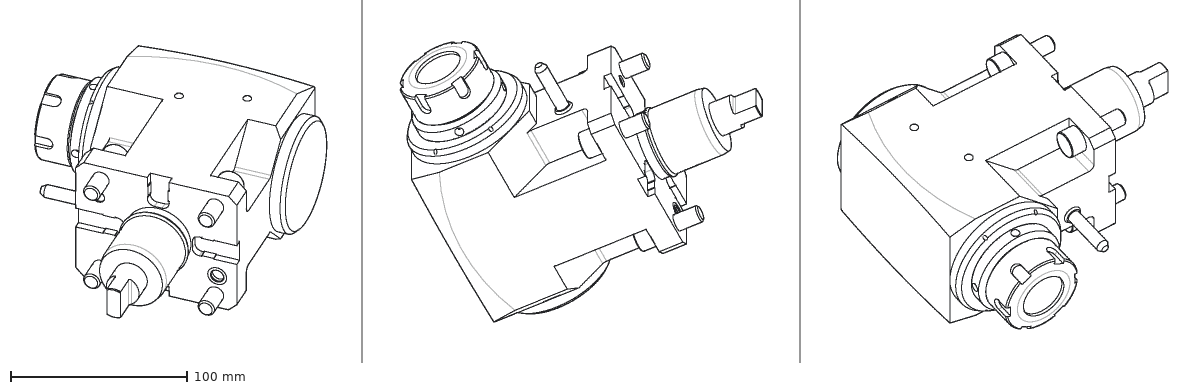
import cadquery as cq
import math


HALF_HEIGHT = 40.0
FLANGE_LEFT = -50.5
HEAD_LEFT = -60.0
BLOCK_RIGHT = 48.0
FLANGE_THICKNESS = 15.0
EDGE_CHAMFER = 5.0
WEB_HALF_HEIGHT = 19.0
STEP_FILLET = 3.5
NECK_HALF_WIDTH = 26.0
HEAD_FRONT = 47.0
HEAD_FLAT_HALF = 14.0
SPINDLE_Y = 85.0

RELIEF_ANGLE = 15.0
RELIEF_RADIUS = 133.0
RELIEF_PEAK_Y = 115.3

RING_RADIUS = 36.5
RING_FRONT = -68.7
RING_CHAMFER_LENGTH = 3.0
RING_CHAMFER_DEPTH = 2.0
RING_NOTCH_RADIUS = 2.2
RING_NOTCH_DEPTH = 2.5
RING_NOTCH_ANGLES = (30, 150, 210, 330)
COLLAR_RADIUS = 28.1
COLLAR_FRONT = -76.3
COLLAR_HOLE_RADIUS = 2.6
COLLAR_HOLE_TIP_RADIUS = 0.5
COLLAR_HOLE_DEPTH = 3.0
COLLAR_HOLE_ANGLES = (0, 90, 180, 270)
COLLAR_GROOVE_WIDTH = 0.6
COLLAR_GROOVE_RADIUS = 27.2
SPINDLE_NECK_RADIUS = 21.5
CAP_RADIUS = 34.5
CAP_END = 56.8
CAP_CHAMFER = 2.3
HEAD_BACK = SPINDLE_Y + RING_RADIUS

NUT_RADIUS = 25.1
NUT_BACK = -78.6
NUT_FRONT = -100.8
NUT_BACK_CHAMFER = 0.6
NUT_CONE_INNER_RADIUS = 18.2
NUT_CONE_OUTER_RADIUS = 24.3
NUT_CONE_LENGTH = 1.3
NUT_EDGE_LENGTH = 2.3
NUT_BORE_RADIUS = 14.0
NUT_BORE_DEPTH = 2.0
NUT_SLOT_COUNT = 6
NUT_SLOT_WIDTH = 7.2
NUT_SLOT_END = -88.0
NUT_SLOT_FLOOR = 22.3

SHANK_RADIUS = 20.0
SHANK_LENGTH = 42.2
SHANK_TAPER_LENGTH = 4.2
SHANK_END_RADIUS = 19.2
O_RING_CENTRE_RADIUS = 19.5
O_RING_SECTION_RADIUS = 1.6
O_RING_Y = -7.0
SHAFT_RADIUS = 10.0
SHAFT_END = -55.0
TANG_END = -69.0
TANG_THICKNESS = 8.2
TANG_ROOT_FILLET = 1.2
TANG_END_CHAMFER = 0.5

SLOT_DEPTH = 4.5
SLOT_HALF_WIDTH = 6.6
SLOT_PINCH_HALF_WIDTH = 6.1
SLOT_PINCH_START = 26.5
SLOT_PINCH_END = 33.8
SLOT_INNER_END = 20.8
SLOT_CORNER_RADIUS = 4.3

SCREW_X = 35.0
SCREW_Z = 31.0
SCREW_RADIUS = 5.0
SCREW_LENGTH = 15.2
SCREW_TIP_CHAMFER = 1.0
SCREW_HEAD_RADIUS = 8.0
SCREW_HEAD_HEIGHT = 9.6
SCREW_HEAD_CHAMFER = 0.5

PIN_Y = 29.9
PIN_Z = -9.7
PIN_RADIUS = 3.8
PIN_END = -83.0
PIN_TIP_RADIUS = 2.2
PIN_TIP_LENGTH = 2.8
PIN_BASE_RADIUS = 5.5
PIN_BASE_FRONT_RADIUS = 4.7
PIN_BASE_LENGTH = 1.5
DIMPLE_X = -36.3
DIMPLE_Z = 18.2
DIMPLE_RADIUS = 3.5
DIMPLE_DEPTH = 1.0
PORT_X = 36.0
PORT_Z = -18.0
PORT_RADIUS = 4.0
PORT_DEPTH = 3.0
PORT_SEAL_CENTRE_RADIUS = 4.9
PORT_SEAL_SECTION_RADIUS = 1.0
PORT_SEAL_PROTRUSION = 0.5
PLUG_CENTRES = [(-18.6, 79.4), (18.4, 91.4)]
PLUG_BASE_RADIUS = 2.5
PLUG_HEIGHT = 1.6


def cylinder(radius, start, length, direction):
    """Cylinder whose end face is centred on `start`, running `length` along `direction`."""
    axis = cq.Vector(*direction)
    base = cq.Vector(*start)
    return cq.Workplane(cq.Solid.makeCylinder(radius, length, base, axis))


def spindle_turned(points):
    """Revolve (X, radius) points about the spindle axis."""
    profile = [(x, SPINDLE_Y + radius) for x, radius in points]
    return (
        cq.Workplane("XY").polyline(profile).close()
        .revolve(360, (0, SPINDLE_Y, 0), (1, SPINDLE_Y, 0))
    )


def box_between(x_range, y_range, z_range):
    size = [high - low for low, high in (x_range, y_range, z_range)]
    corner = (x_range[0], y_range[0], z_range[0])
    return cq.Workplane("XY").box(*size, centered=False).translate(corner)


def around_spindle(shape, angle):
    return shape.rotate((0, SPINDLE_Y, 0), (1, SPINDLE_Y, 0), angle)


def conical_pit(x, outer_radius, mouth_radius, tip_radius, depth):
    """Cone pointing at the spindle axis, with its mouth `outer_radius` from that axis."""
    mouth = cq.Vector(x, SPINDLE_Y, outer_radius)
    return cq.Workplane(cq.Solid.makeCone(mouth_radius, tip_radius, depth, mouth, cq.Vector(0, 0, -1)))


def stepped_block():
    """Flange, thin web and rear head in one side profile, with filleted web steps."""
    slope_start = HEAD_FRONT + WEB_HALF_HEIGHT - HEAD_FLAT_HALF
    slope_end = HEAD_FRONT + HALF_HEIGHT - HEAD_FLAT_HALF
    upper = [
        (0, HALF_HEIGHT),
        (FLANGE_THICKNESS, HALF_HEIGHT),
        (FLANGE_THICKNESS, WEB_HALF_HEIGHT),
        (slope_start, WEB_HALF_HEIGHT),
        (slope_end, HALF_HEIGHT),
        (HEAD_BACK, HALF_HEIGHT),
    ]
    lower = [(y, -z) for y, z in reversed(upper)]
    block = (
        cq.Workplane("YZ").workplane(offset=FLANGE_LEFT)
        .polyline(upper + lower).close().extrude(BLOCK_RIGHT - FLANGE_LEFT)
    )
    block = block.edges("|Y").edges(">Z or <Z").chamfer(EDGE_CHAMFER)
    margin = STEP_FILLET / 2
    web_steps = cq.selectors.BoxSelector(
        (FLANGE_LEFT, FLANGE_THICKNESS - margin, -WEB_HALF_HEIGHT - margin),
        (BLOCK_RIGHT, slope_start + margin, WEB_HALF_HEIGHT + margin),
    )
    return block.edges("|X").edges(web_steps).fillet(STEP_FILLET)


def head_block():
    """Left part of the head, with 45 degree slopes down to a narrow front flat."""
    slope_end = HEAD_FRONT + HALF_HEIGHT - HEAD_FLAT_HALF
    upper = [(HEAD_FRONT, HEAD_FLAT_HALF), (slope_end, HALF_HEIGHT), (HEAD_BACK, HALF_HEIGHT)]
    lower = [(y, -z) for y, z in reversed(upper)]
    return (
        cq.Workplane("YZ").workplane(offset=HEAD_LEFT)
        .polyline(upper + lower).close().extrude(-HEAD_LEFT)
    )


def relief_envelope():
    """Double cone about a vertical axis that trims the back corners of the head."""
    axis_x = (HEAD_LEFT + BLOCK_RIGHT) / 2
    axis_y = RELIEF_PEAK_Y - RELIEF_RADIUS
    slope = math.tan(math.radians(RELIEF_ANGLE))
    apex = HALF_HEIGHT + RELIEF_RADIUS * slope
    return (
        cq.Workplane("XZ").polyline([(0, apex), (apex / slope, 0), (0, -apex)]).close()
        .revolve(360, (0, 0, 0), (0, 1, 0)).translate((axis_x, axis_y, 0))
    )


def key_slot():
    """Slot running outward along +X, pinched over its middle, with a rounded inner end."""
    outer_end = max(-FLANGE_LEFT, BLOCK_RIGHT)
    sections = [
        (SLOT_INNER_END, SLOT_PINCH_START, SLOT_HALF_WIDTH),
        (SLOT_PINCH_START, SLOT_PINCH_END, SLOT_PINCH_HALF_WIDTH),
        (SLOT_PINCH_END, outer_end, SLOT_HALF_WIDTH),
    ]
    inner, pinch, outer = [
        box_between((start, end), (0, SLOT_DEPTH), (-half_width, half_width))
        for start, end, half_width in sections
    ]
    inner = inner.edges("|Y and <X").fillet(SLOT_CORNER_RADIUS)
    return inner.union(pinch).union(outer)


def spindle_rings():
    """Large chamfered ring, collar and spindle neck, stepping out from the left of the head."""
    rings = spindle_turned([
        (HEAD_LEFT, 0),
        (HEAD_LEFT, RING_RADIUS),
        (RING_FRONT + RING_CHAMFER_LENGTH, RING_RADIUS),
        (RING_FRONT, RING_RADIUS - RING_CHAMFER_DEPTH),
        (RING_FRONT, COLLAR_GROOVE_RADIUS),
        (RING_FRONT - COLLAR_GROOVE_WIDTH, COLLAR_GROOVE_RADIUS),
        (RING_FRONT - COLLAR_GROOVE_WIDTH, COLLAR_RADIUS),
        (COLLAR_FRONT, COLLAR_RADIUS),
        (COLLAR_FRONT, SPINDLE_NECK_RADIUS),
        (NUT_BACK, SPINDLE_NECK_RADIUS),
        (NUT_BACK, 0),
    ])
    notch = conical_pit(
        RING_FRONT, RING_RADIUS - RING_CHAMFER_DEPTH / 4, RING_NOTCH_RADIUS, 0, RING_NOTCH_DEPTH
    )
    for angle in RING_NOTCH_ANGLES:
        rings = rings.cut(around_spindle(notch, angle))
    wrench_hole = conical_pit(
        (RING_FRONT - COLLAR_GROOVE_WIDTH + COLLAR_FRONT) / 2,
        COLLAR_RADIUS, COLLAR_HOLE_RADIUS, COLLAR_HOLE_TIP_RADIUS, COLLAR_HOLE_DEPTH,
    )
    for angle in COLLAR_HOLE_ANGLES:
        rings = rings.cut(around_spindle(wrench_hole, angle))
    return rings


def end_cap():
    return spindle_turned([
        (BLOCK_RIGHT, 0),
        (BLOCK_RIGHT, CAP_RADIUS),
        (CAP_END - CAP_CHAMFER, CAP_RADIUS),
        (CAP_END, CAP_RADIUS - CAP_CHAMFER),
        (CAP_END, 0),
    ])


def shank():
    """Cylindrical shank with O-ring, and the drive shaft ending in a flat tang."""
    body = (
        cq.Workplane("XY")
        .polyline([
            (0, 0),
            (SHANK_RADIUS, 0),
            (SHANK_RADIUS, SHANK_TAPER_LENGTH - SHANK_LENGTH),
            (SHANK_END_RADIUS, -SHANK_LENGTH),
            (SHAFT_RADIUS, -SHANK_LENGTH),
            (SHAFT_RADIUS, TANG_END + TANG_END_CHAMFER),
            (SHAFT_RADIUS - TANG_END_CHAMFER, TANG_END),
            (0, TANG_END),
        ])
        .close().revolve(360, (0, 0, 0), (0, 1, 0))
    )
    flat = box_between(
        (TANG_THICKNESS / 2, SHAFT_RADIUS), (TANG_END, SHAFT_END), (-SHAFT_RADIUS, SHAFT_RADIUS)
    ).edges("|Z and <X and >Y").fillet(TANG_ROOT_FILLET)
    body = body.cut(flat).cut(flat.mirror("YZ"))
    o_ring = cq.Solid.makeTorus(
        O_RING_CENTRE_RADIUS, O_RING_SECTION_RADIUS, cq.Vector(0, O_RING_Y, 0), cq.Vector(0, 1, 0)
    )
    return body.union(cq.Workplane(o_ring))


def mounting_screw(x, z):
    """Screw with its shank below the mounting face and its head on top of the flange."""
    thread_length = FLANGE_THICKNESS + SCREW_LENGTH
    thread = cylinder(SCREW_RADIUS, (x, -SCREW_LENGTH, z), thread_length, (0, 1, 0))
    head = cylinder(SCREW_HEAD_RADIUS, (x, FLANGE_THICKNESS, z), SCREW_HEAD_HEIGHT, (0, 1, 0))
    thread = thread.faces("<Y").chamfer(SCREW_TIP_CHAMFER)
    return thread.union(head.faces(">Y").chamfer(SCREW_HEAD_CHAMFER))


def coolant_pin():
    """Pointed pin with a tapered base, standing out of the web's left face."""
    return (
        cq.Workplane("XY")
        .polyline([
            (FLANGE_LEFT, 0),
            (FLANGE_LEFT, PIN_BASE_RADIUS),
            (FLANGE_LEFT - PIN_BASE_LENGTH, PIN_BASE_FRONT_RADIUS),
            (FLANGE_LEFT - PIN_BASE_LENGTH, PIN_RADIUS),
            (PIN_END + PIN_TIP_LENGTH, PIN_RADIUS),
            (PIN_END, PIN_TIP_RADIUS),
            (PIN_END, 0),
        ])
        .close().revolve(360, (0, 0, 0), (1, 0, 0)).translate((0, PIN_Y, PIN_Z))
    )


def top_plug(x, y):
    """Low spherical cap on the top face."""
    sphere_radius = (PLUG_BASE_RADIUS ** 2 + PLUG_HEIGHT ** 2) / (2 * PLUG_HEIGHT)
    return (
        cq.Workplane("XY").sphere(sphere_radius)
        .translate((x, y, HALF_HEIGHT + PLUG_HEIGHT - sphere_radius))
    )


def make_housing():
    neck = box_between(
        (-NECK_HALF_WIDTH, NECK_HALF_WIDTH), (0, SPINDLE_Y), (-HALF_HEIGHT, HALF_HEIGHT)
    )
    body = stepped_block().union(neck).union(head_block()).intersect(relief_envelope())

    for angle in (0, 90, 180, 270):
        body = body.cut(key_slot().rotate((0, 0, 0), (0, 1, 0), angle))
    body = body.cut(cylinder(DIMPLE_RADIUS, (DIMPLE_X, 0, DIMPLE_Z), DIMPLE_DEPTH, (0, 1, 0)))

    seal_y = PORT_SEAL_SECTION_RADIUS - PORT_SEAL_PROTRUSION
    port_seal = cq.Solid.makeTorus(
        PORT_SEAL_CENTRE_RADIUS, PORT_SEAL_SECTION_RADIUS,
        cq.Vector(PORT_X, seal_y, PORT_Z), cq.Vector(0, 1, 0),
    )
    body = body.cut(cylinder(PORT_RADIUS, (PORT_X, 0, PORT_Z), PORT_DEPTH, (0, 1, 0)))
    body = body.union(cq.Workplane(port_seal))

    body = body.union(spindle_rings()).union(end_cap()).union(shank()).union(coolant_pin())
    for x in (-SCREW_X, SCREW_X):
        for z in (-SCREW_Z, SCREW_Z):
            body = body.union(mounting_screw(x, z))
    for x, y in PLUG_CENTRES:
        body = body.union(top_plug(x, y))
    return body


def make_collet_nut():
    """Clamping nut with a shallow conical front, a recess and open-ended wrench slots."""
    nut = spindle_turned([
        (NUT_BACK, 0),
        (NUT_BACK, NUT_RADIUS - NUT_BACK_CHAMFER),
        (NUT_BACK - NUT_BACK_CHAMFER, NUT_RADIUS),
        (NUT_FRONT + NUT_EDGE_LENGTH, NUT_RADIUS),
        (NUT_FRONT + NUT_CONE_LENGTH, NUT_CONE_OUTER_RADIUS),
        (NUT_FRONT, NUT_CONE_INNER_RADIUS),
        (NUT_FRONT, NUT_BORE_RADIUS),
        (NUT_FRONT + NUT_BORE_DEPTH, NUT_BORE_RADIUS),
        (NUT_FRONT + NUT_BORE_DEPTH, 0),
    ])
    half_width = NUT_SLOT_WIDTH / 2
    slot_centre = NUT_SLOT_END - half_width
    slot = box_between(
        (NUT_FRONT, slot_centre),
        (SPINDLE_Y - half_width, SPINDLE_Y + half_width),
        (NUT_SLOT_FLOOR, NUT_RADIUS),
    ).union(cylinder(half_width, (slot_centre, SPINDLE_Y, NUT_SLOT_FLOOR), NUT_RADIUS, (0, 0, 1)))
    for index in range(NUT_SLOT_COUNT):
        nut = nut.cut(around_spindle(slot, 90 + index * 360 / NUT_SLOT_COUNT))
    return nut


housing = make_housing()
collet_nut = make_collet_nut()
result = cq.Compound.makeCompound([housing.val(), collet_nut.val()])